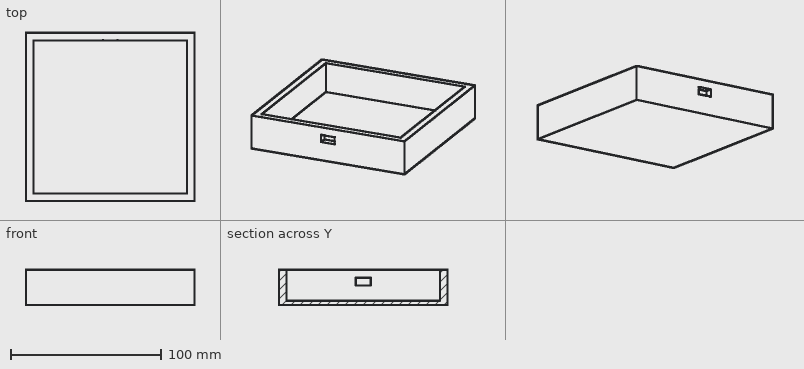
import cadquery as cq

side = 112.0
height = 23.6
wall = 5.2
floor = 3.0

port_width = 10.0
port_height = 5.0
port_bottom = 13.1

inner_side = side - 2 * wall

tray = cq.Workplane("XY").box(side, side, height, centered=(True, True, False))
cavity = (
    cq.Workplane("XY", origin=(0, 0, floor))
    .box(inner_side, inner_side, height - floor, centered=(True, True, False))
)

port = (
    cq.Workplane("XY", origin=(0, inner_side / 2, port_bottom))
    .box(port_width, wall, port_height, centered=(True, False, False))
)

result = tray.cut(cavity).cut(port)